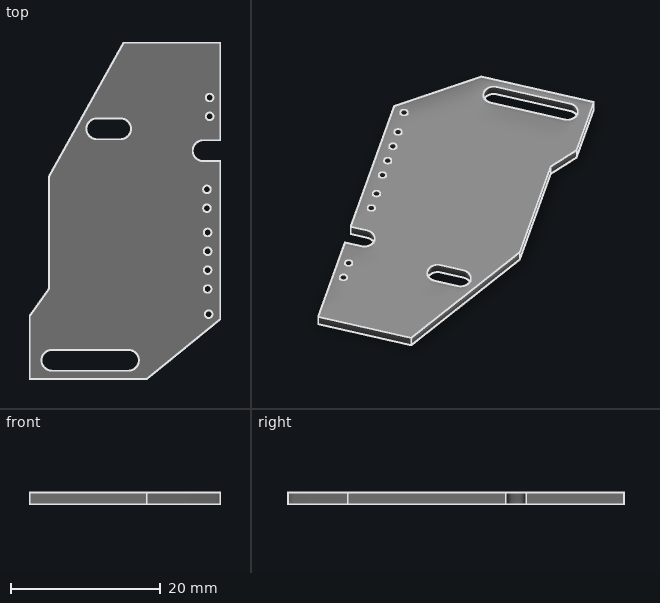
import cadquery as cq

width = 25.5
length = 45.0
thickness = 1.6

bottom_edge_end = 15.65
right_edge_start = 8.0
top_edge_start = 12.55
left_step = 2.55
left_edge_top = 8.45
inset_edge_bottom = 12.05
inset_edge_top = 27.1

slot_width = 2.75
lower_slot_length = 13.0
lower_slot_center = (8.1, 2.5)
upper_slot_length = 5.95
upper_slot_center = (10.58, 33.5)
notch_depth = 3.7
notch_y = 30.55

hole_diameter = 1.0
hole_pitch = 2.5
hole_columns = [
    (23.95, 8.7, 1),
    (23.8, 12.05, 4),
    (23.7, 22.85, 2),
    (24.08, 35.15, 2),
]


def make_plate():
    outline = [
        (0, 0),
        (bottom_edge_end, 0),
        (width, right_edge_start),
        (width, length),
        (top_edge_start, length),
        (left_step, inset_edge_top),
        (left_step, inset_edge_bottom),
        (0, left_edge_top),
    ]
    return cq.Workplane("XY").polyline(outline).close().extrude(thickness)


def slot_cutter(center, slot_length):
    return cq.Workplane("XY").center(*center).slot2D(slot_length, slot_width).extrude(thickness)


def hole_cutters():
    centers = [
        (x, lowest_y + index * hole_pitch)
        for x, lowest_y, count in hole_columns
        for index in range(count)
    ]
    return cq.Workplane("XY").pushPoints(centers).circle(hole_diameter / 2).extrude(thickness)


result = make_plate()
result = result.cut(slot_cutter(lower_slot_center, lower_slot_length))
result = result.cut(slot_cutter(upper_slot_center, upper_slot_length))

result = result.cut(slot_cutter((width, notch_y), 2 * notch_depth))

result = result.cut(hole_cutters())